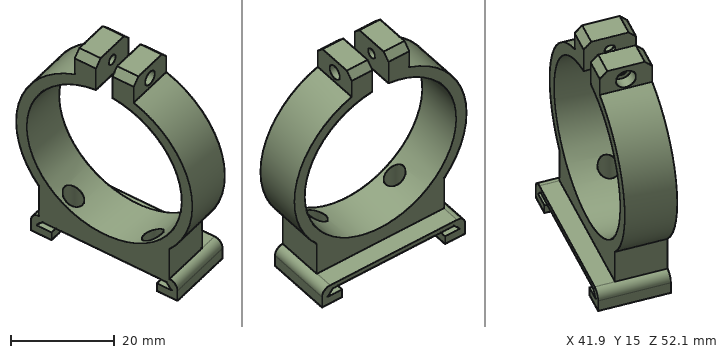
import cadquery as cq

width = 10.85
outer_radius = 20.95
wall = 2.55
inner_radius = outer_radius - wall
top_z = 52.1
ring_z = 26.6

split = 3.9
ear_thickness = 5.05
ear_outer_x = split / 2 + ear_thickness
ear_chamfer = 1.55
screw_z = 48.8
screw_diameter = 2.2
head_diameter = 4.1
head_depth = 2.5
nut_diameter = 3.2
nut_depth = 4.15

pedestal_width = 31.0
rail_length = 15.0
rail_width = 34.8
rail_top_z = 4.75
plate_bottom_z = 3.55
lip_thickness = 2.05
lip_length = 4.9
hook_wall = 1.35
hook_radius = 2.0
slot_slope_run = 1.3

mount_diameter = 4.2
mount_x = 9.45
mount_y = 2.95


def block(x_min, x_max, length, z_min, z_max):
    """Box running from the front face back along Y."""
    return cq.Workplane("XY").box(
        x_max - x_min, length, z_max - z_min, centered=False
    ).translate((x_min, 0, z_min))


def cylinder_y(radius):
    """Cylinder on the ring axis, as long as the ring is wide."""
    return cq.Workplane("XZ", origin=(0, 0, ring_z)).circle(radius).extrude(-width)


def cylinder_x(diameter, x_min, length):
    """Cylinder on the clamping screw axis."""
    return (
        cq.Workplane("YZ", origin=(x_min, width / 2, screw_z))
        .circle(diameter / 2)
        .extrude(length)
    )


def clamp_body():
    """Split ring with ears and pedestal."""
    ears = block(-ear_outer_x, ear_outer_x, width, ring_z, top_z)
    ears = ears.faces(">Z").edges("|X").chamfer(ear_chamfer)
    half_pedestal = pedestal_width / 2
    pedestal = block(-half_pedestal, half_pedestal, width, plate_bottom_z, ring_z)
    body = cylinder_y(outer_radius).union(ears).union(pedestal)
    gap = block(-split / 2, split / 2, width, ring_z, top_z)
    return body.cut(cylinder_y(inner_radius)).cut(gap)


def rail():
    """Plate with a hook along each side."""
    half_width = rail_width / 2
    slot_half = half_width - hook_wall
    outer = block(-half_width, half_width, rail_length, 0, rail_top_z)
    outer = outer.faces(">Z").edges("|Y").fillet(hook_radius)
    slot = (
        cq.Workplane("XZ")
        .moveTo(-slot_half, lip_thickness)
        .lineTo(slot_half, lip_thickness)
        .lineTo(slot_half - slot_slope_run, plate_bottom_z)
        .lineTo(-slot_half + slot_slope_run, plate_bottom_z)
        .close()
        .extrude(-rail_length)
    )
    opening_half = half_width - lip_length
    opening = block(-opening_half, opening_half, rail_length, 0, lip_thickness)
    return outer.cut(slot).cut(opening)


def clamp_screw():
    """Screw hole through both ears, with a head recess at -X and a round nut recess at +X."""
    shank = cylinder_x(screw_diameter, -ear_outer_x, 2 * ear_outer_x)
    head = cylinder_x(head_diameter, -ear_outer_x, head_depth)
    nut = cylinder_x(nut_diameter, ear_outer_x - nut_depth, nut_depth)
    return shank.union(head).union(nut)


def mounting_holes():
    """Pair of vertical holes from the bore down through the plate."""
    return (
        cq.Workplane("XY", origin=(0, mount_y, plate_bottom_z))
        .pushPoints([(-mount_x, 0), (mount_x, 0)])
        .circle(mount_diameter / 2)
        .extrude(ring_z - plate_bottom_z)
    )


result = clamp_body().union(rail()).cut(clamp_screw()).cut(mounting_holes())